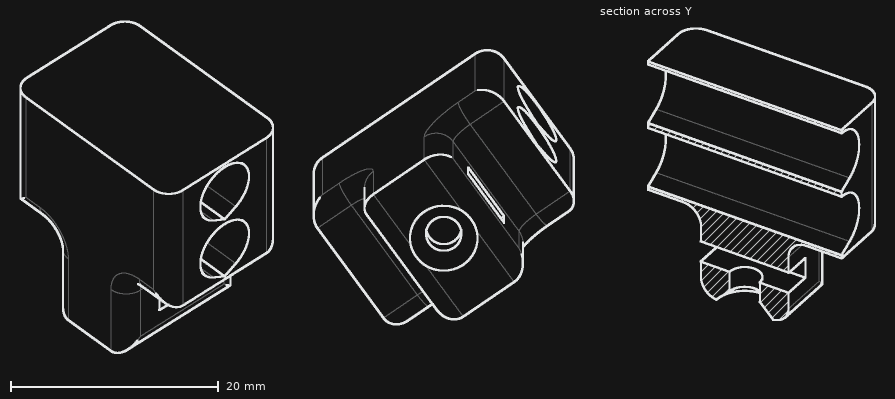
import cadquery as cq
import math

width = 22.0
depth = 15.0
height = 25.0

stem_width = 10.0
stem_height = 10.0
edge_radius = 2.0
selection_margin = 0.25

bore_radius = 3.2
bore_top_gap = 0.4
bore_spacing = 7.4
bore_count = 2
tip_depth = 3.6
tip_slope = math.acos(bore_radius / tip_depth)

slot_width = 6.0
slot_height = 2.3
slot_center_z = stem_height / 2

foot_hole_diameter = 3.4
countersink_diameter = 6.5
countersink_angle = math.radians(90)


def make_body():
    """T body with rounded front and back edges and rounded stem foot."""
    block = cq.Workplane("XY").box(width, depth, height - stem_height, centered=(True, True, False))
    block = block.translate((0, 0, stem_height))
    stem = cq.Workplane("XY").box(stem_width, depth, stem_height, centered=(True, True, False))
    body = block.union(stem)

    inner_corner = cq.selectors.BoxSelector(
        (-stem_width / 2 - selection_margin, -depth, stem_height - selection_margin),
        (stem_width / 2 + selection_margin, depth, stem_height + selection_margin),
    )
    body = body.edges("|Y").edges(inner_corner).fillet(edge_radius)

    outline = body.faces("<Y or >Y").edges("not(<Z or >Z)")
    body = outline.fillet(edge_radius)

    envelope = cq.Workplane("XY").box(stem_width, depth, stem_height, centered=(True, True, False))
    envelope = envelope.edges("|Y and <Z").fillet(edge_radius)
    foot_corners = stem.cut(envelope)
    return body.cut(foot_corners)


def make_bore(center_z):
    """Round bore along X with a pointed bottom formed by two tangent flats."""
    tangent_y = bore_radius * math.sin(tip_slope)
    tangent_z = center_z - bore_radius * math.cos(tip_slope)
    tip_z = center_z - tip_depth
    return (
        cq.Workplane("YZ")
        .moveTo(tangent_y, tangent_z)
        .threePointArc((0, center_z + bore_radius), (-tangent_y, tangent_z))
        .lineTo(0, tip_z)
        .close()
        .extrude(width / 2, both=True)
    )


def make_foot_hole():
    """Countersunk hole along Z from the foot into the slot."""
    hole_radius = foot_hole_diameter / 2
    sink_radius = countersink_diameter / 2
    sink_depth = (sink_radius - hole_radius) / math.tan(countersink_angle / 2)
    return (
        cq.Workplane("XZ")
        .polyline([
            (0, 0),
            (sink_radius, 0),
            (hole_radius, sink_depth),
            (hole_radius, slot_center_z),
            (0, slot_center_z),
        ])
        .close()
        .revolve(360, (0, 0), (0, 1))
    )


result = make_body()

top_bore_z = height - bore_top_gap - bore_radius
for index in range(bore_count):
    result = result.cut(make_bore(top_bore_z - index * bore_spacing))

slot = cq.Workplane("XY").box(width, slot_width, slot_height).translate((0, 0, slot_center_z))
result = result.cut(slot)

result = result.cut(make_foot_hole())